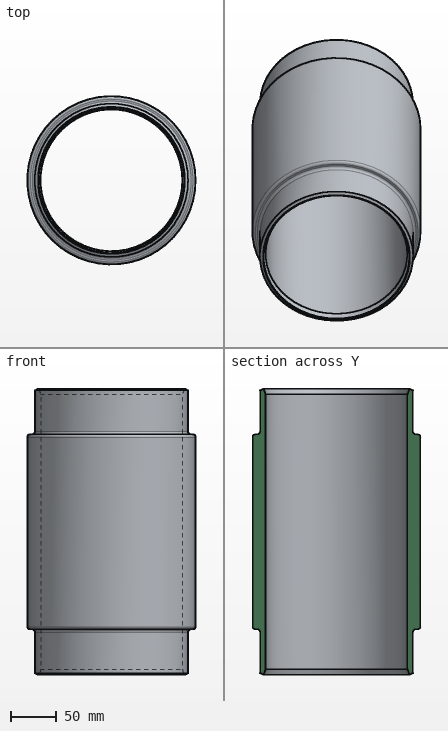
import cadquery as cq

length = 314.0
sleeve_diameter = 185.0
neck_diameter = 168.3
bore_diameter = 155.5

neck_length = 50.0

shoulder_radius = 3.0

rim_bevel_height = 2.0
rim_bevel_width = 3.5
mouth_bevel_depth = 6.3
mouth_bevel_width = 2.2

half_length = length / 2
sleeve_length = length - 2 * neck_length
bore_radius = bore_diameter / 2


def cylinder(diameter, height):
    """Solid cylinder on the Z axis, centred on the origin."""
    return cq.Workplane("XY").cylinder(height, diameter / 2)


def revolve_about_z(profile):
    """Solid of revolution about Z from (radius, z) points."""
    return cq.Workplane("XZ").polyline(profile).close().revolve(360, (0, 0), (0, 1))


def bore_cutter():
    """Through bore that flares into a conical mouth at each end."""
    mouth_radius = bore_radius + mouth_bevel_width
    bevel_z = half_length - mouth_bevel_depth
    return revolve_about_z([
        (0, -half_length),
        (mouth_radius, -half_length),
        (bore_radius, -bevel_z),
        (bore_radius, bevel_z),
        (mouth_radius, half_length),
        (0, half_length),
    ])


body = cylinder(neck_diameter, length).union(cylinder(sleeve_diameter, sleeve_length))

body = body.edges("%CIRCLE and (not (>Z or <Z))").fillet(shoulder_radius)

body = body.faces(">Z or <Z").chamfer(rim_bevel_height, rim_bevel_width)

result = body.cut(bore_cutter())